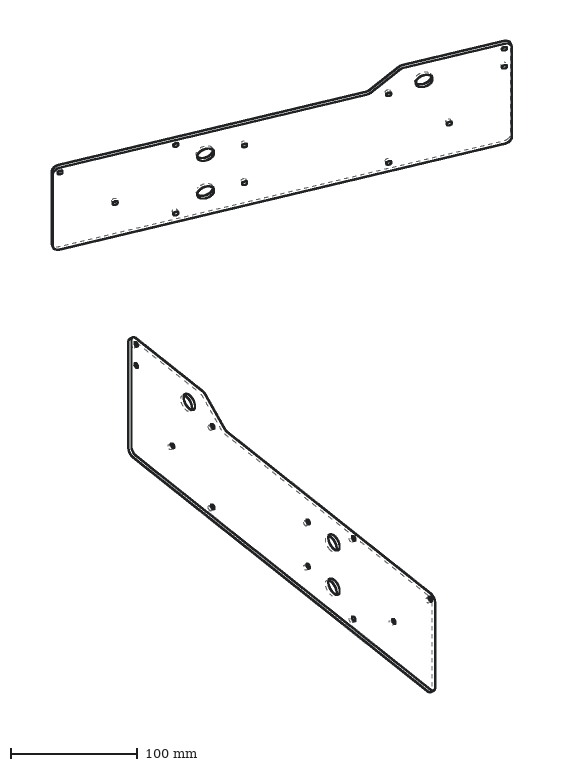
import cadquery as cq

thickness = 3.15
length = 380.0
full_height = 122.0
shoulder_height = 100.0
corner_radius = 6.0

slope_top_y = 98.8
slope_bottom_y = 72.0

small_diameter = 4.0
large_diameter = 14.0
edge_inset = 6.0
end_hole_y = length / 2 - edge_inset
upper_row_z = shoulder_height - edge_inset
top_hole_z = full_height - edge_inset
lower_row_z = 10.3
inner_hole_y = 88.0
middle_hole_y = 138.5
middle_hole_z = 40.5
port_y = -63.5
port_screw_y = -31.0
port_heights = (27.5, 73.5)
raised_port_y = 117.5


def make_plate():
    """Stepped plate with every outline corner rounded."""
    half_length = length / 2
    outline = [
        (-half_length, 0),
        (half_length, 0),
        (half_length, full_height),
        (slope_top_y, full_height),
        (slope_bottom_y, shoulder_height),
        (-half_length, shoulder_height),
    ]
    plate = cq.Workplane("YZ").polyline(outline).close().extrude(thickness / 2, both=True)
    return plate.edges("|X").fillet(corner_radius)


def make_drills(centres, diameter):
    """Cylinders through the plate thickness at the given (Y, Z) centres."""
    return cq.Workplane("YZ").pushPoints(centres).circle(diameter / 2).extrude(thickness, both=True)


small_holes = [(end_hole_y, top_hole_z)]
large_holes = [(raised_port_y, shoulder_height)]

for side in (-1, 1):
    small_holes.append((side * end_hole_y, upper_row_z))
    small_holes.append((side * inner_hole_y, upper_row_z))
    small_holes.append((side * inner_hole_y, lower_row_z))
    small_holes.append((side * middle_hole_y, middle_hole_z))

for port_z in port_heights:
    large_holes.append((port_y, port_z))
    small_holes.append((port_screw_y, port_z))

result = make_plate()
result = result.cut(make_drills(small_holes, small_diameter))
result = result.cut(make_drills(large_holes, large_diameter))